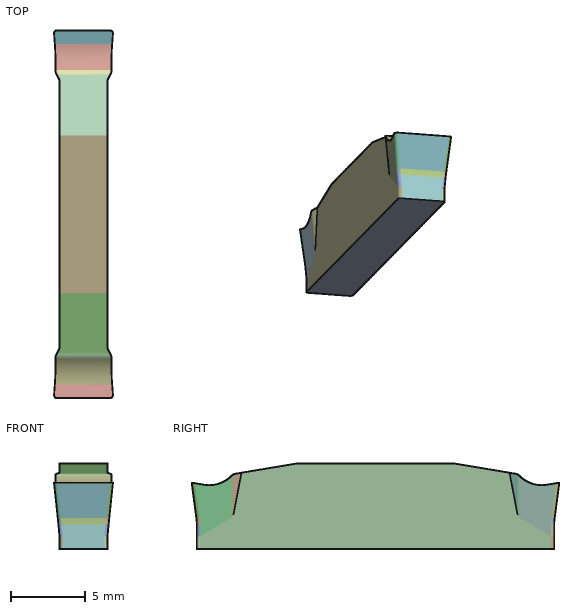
import cadquery as cq
import math

LENGTH = 24.85
HEIGHT = 5.8
BODY_WIDTH = 3.25
TIP_WIDTH = 4.03
TIP_HEIGHT = 4.5

FLAT_LENGTH = 10.64
SLOPE_ANGLE = math.radians(9.5)

LAND_LENGTH = 0.92
GROOVE_EXIT_ANGLE = math.radians(45)
CREST_INSET = 3.0
CREST_RADIUS = 0.6

FOOT_INSET = 0.35
RELIEF_START = 2.09
FOOT_HEIGHT = 1.66
CORNER_RADIUS = 0.22

KNEE_INSET = 2.8
KNEE_HEIGHT = 2.19
FLARE_BASE_HEIGHT = 0.52
BACK_LEAN = 0.19
BACK_RIDGE_RADIUS = 0.37

SELECTION_MARGIN = 0.02

half_length = LENGTH / 2
half_body = BODY_WIDTH / 2


def point_on_arc(center, radius, angle):
    """Point at the given angle from straight up, positive towards the end (+Y)."""
    return (center[0] + radius * math.sin(angle), center[1] + radius * math.cos(angle))


def half_profile():
    """Side outline in (Y, Z) of the +Y half, extruded wider than the part."""
    flat_end = FLAT_LENGTH / 2
    crest_y = half_length - CREST_INSET
    crest = (crest_y, HEIGHT - (crest_y - flat_end) * math.tan(SLOPE_ANGLE))
    crest_center = (
        crest[0] - CREST_RADIUS * math.sin(SLOPE_ANGLE),
        crest[1] - CREST_RADIUS * math.cos(SLOPE_ANGLE),
    )
    crest_middle = point_on_arc(crest_center, CREST_RADIUS, (SLOPE_ANGLE + GROOVE_EXIT_ANGLE) / 2)
    groove_inner = point_on_arc(crest_center, CREST_RADIUS, GROOVE_EXIT_ANGLE)

    land_y = half_length - LAND_LENGTH
    groove_outer = (land_y, TIP_HEIGHT - LAND_LENGTH * math.tan(SLOPE_ANGLE))
    foot_y = half_length - FOOT_INSET
    relief_slope = FOOT_INSET / (TIP_HEIGHT - (RELIEF_START + FOOT_HEIGHT) / 2)
    relief_y = half_length - relief_slope * (TIP_HEIGHT - RELIEF_START)

    outline = (
        cq.Workplane("YZ")
        .moveTo(0, 0)
        .lineTo(0, HEIGHT)
        .lineTo(flat_end, HEIGHT)
        .lineTo(*crest)
        .threePointArc(crest_middle, groove_inner)
        .tangentArcPoint(groove_outer, relative=False)
        .lineTo(half_length, TIP_HEIGHT)
        .lineTo(relief_y, RELIEF_START)
        .tangentArcPoint((foot_y, FOOT_HEIGHT), relative=False)
        .lineTo(foot_y, 0)
        .close()
    )
    return outline.extrude(TIP_WIDTH, both=True)


def polyhedron(faces):
    """Solid bounded by flat faces, each a list of corner points."""
    sides = []
    for corners in faces:
        wire = cq.Wire.makePolygon([cq.Vector(*corner) for corner in corners], close=True)
        sides.append(cq.Face.makeFromWires(wire))
    return cq.Workplane(obj=cq.Solid.makeSolid(cq.Shell.makeShell(sides)))


def side_flare():
    """Wedge on the +X side of the +Y head, widening upwards and towards the tip."""
    knee_y = half_length - KNEE_INSET
    flare_gain = (TIP_WIDTH - BODY_WIDTH) / 2 / (TIP_HEIGHT - FLARE_BASE_HEIGHT)
    tip_base = (half_body, half_length, FLARE_BASE_HEIGHT)
    knee = (half_body, knee_y, KNEE_HEIGHT)
    back_top = (half_body, knee_y - BACK_LEAN * (HEIGHT - KNEE_HEIGHT), HEIGHT)
    tip_top = (half_body, half_length, HEIGHT)
    outer_tip = (half_body + flare_gain * (HEIGHT - FLARE_BASE_HEIGHT), half_length, HEIGHT)
    outer_back = (half_body + flare_gain * (HEIGHT - KNEE_HEIGHT), knee_y, HEIGHT)
    return polyhedron([
        [tip_base, knee, back_top, tip_top],
        [tip_base, knee, outer_back, outer_tip],
        [knee, back_top, outer_back],
        [tip_top, back_top, outer_back, outer_tip],
        [tip_base, outer_tip, tip_top],
    ])


def half_part():
    """The +Y half: both flares, the side profile, and rounded back ridges and end corners."""
    flare = side_flare()
    body = cq.Workplane("XY").box(BODY_WIDTH, half_length, HEIGHT, centered=(True, False, False))
    blank = body.union(flare).union(flare.mirror("YZ"))
    knee_y = half_length - KNEE_INSET
    back_ridges = cq.selectors.BoxSelector(
        (-TIP_WIDTH, knee_y - SELECTION_MARGIN, KNEE_HEIGHT),
        (TIP_WIDTH, knee_y + SELECTION_MARGIN, HEIGHT - SELECTION_MARGIN),
    )
    blank = blank.edges(back_ridges).fillet(BACK_RIDGE_RADIUS)

    half = blank.intersect(half_profile())

    corner_zone = cq.selectors.BoxSelector(
        (-TIP_WIDTH, half_length - FOOT_INSET - SELECTION_MARGIN, 0),
        (TIP_WIDTH, half_length + SELECTION_MARGIN, TIP_HEIGHT),
    )
    across_or_along = cq.selectors.ParallelDirSelector(cq.Vector(1, 0, 0))
    return half.edges(corner_zone - across_or_along).fillet(CORNER_RADIUS)


half = half_part()
result = half.union(half.mirror("XZ"))